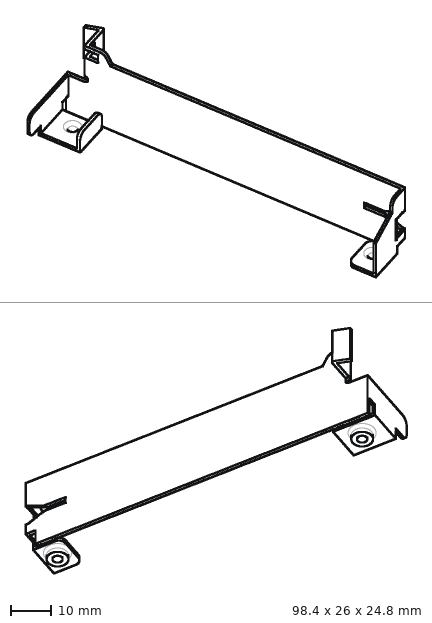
import cadquery as cq
import math

length = 98.4
sheet = 1.0
wall = 0.7
bulge = 0.2
right_face = length - bulge
right_inner = right_face - wall

web_top = 21.55
ear_top = 24.8
left_top = 12.6
ear_arc_start = 9.8
ear_radius = 2.2
ear_slope = math.radians(60)
relief_top = 14.6
relief_end = 6.4
slot_start = 86.8
slot_center = 10.7
slot_width = 1.8
flare_start = 92.8
flare_height = 6.1
opening_height = 6.5
opening_depth = 4.2
corner_start = 95.4
corner_top = 4.5

hook_x = 5.4
hook_back = 6.9
hook_tip_x = 1.8
hook_angle = math.radians(18)
hook_bend = 0.5
window_width = 3.9
window_depth = 2.4
window_bottom = 20.9
window_top = 23.6

floor_bottom = 2.1
floor_back = -3.6
floor_front = -13.8
left_floor_end = 12.1
right_floor_start = 90.0
upright_top = 8.2
corner_radius = 2.0
left_wall_front = -19.1
left_wall_bottom = 5.5
right_shoulder_y = -5.9
right_shoulder_z = 17.7
right_slope_end_z = 13.5
ridge_height = 6.9
ridge_width = 0.4

collar_y = -7.7
left_collar_x = 6.1
right_collar_x = 93.6
collar_diameter = 5.4
hole_diameter = 2.6
collar_flare = 0.8
hole_flare = 1.0


def box(x_range, y_range, z_range):
    """Axis-aligned block between the given limits."""
    (x0, x1), (y0, y1), (z0, z1) = x_range, y_range, z_range
    return cq.Workplane("XY").box(x1 - x0, y1 - y0, z1 - z0, centered=False).translate((x0, y0, z0))


def side_plate(points, x, thickness):
    """Flat plate normal to X from a (Y, Z) outline."""
    return cq.Workplane("YZ", origin=(x, 0, 0)).polyline(points).close().extrude(thickness)


def make_web():
    relief_radius = (relief_top - left_top) / 2
    arc_mid = ear_slope / 2
    arc_end_x = ear_arc_start + ear_radius * math.sin(ear_slope)
    arc_end_z = ear_top - ear_radius * (1 - math.cos(ear_slope))
    ear_end_x = arc_end_x + (arc_end_z - web_top) / math.tan(ear_slope)
    web = (
        cq.Workplane("XZ")
        .moveTo(0, 0)
        .lineTo(corner_start, 0)
        .lineTo(corner_start, corner_top)
        .lineTo(right_face, corner_top)
        .lineTo(right_face, web_top)
        .lineTo(ear_end_x, web_top)
        .lineTo(arc_end_x, arc_end_z)
        .threePointArc(
            (ear_arc_start + ear_radius * math.sin(arc_mid), ear_top - ear_radius * (1 - math.cos(arc_mid))),
            (ear_arc_start, ear_top),
        )
        .lineTo(hook_x, ear_top)
        .lineTo(hook_x, relief_top)
        .threePointArc((relief_end, left_top + relief_radius), (relief_end - relief_radius, left_top))
        .lineTo(0, left_top)
        .close()
        .extrude(sheet)
    )
    half_slot = slot_width / 2
    half_opening = flare_height / 2
    slot = (
        cq.Workplane("XZ")
        .polyline([
            (slot_start, slot_center - half_slot),
            (flare_start, slot_center - half_slot),
            (right_inner, slot_center - half_opening),
            (right_face, slot_center - half_opening),
            (right_face, slot_center + half_opening),
            (right_inner, slot_center + half_opening),
            (flare_start, slot_center + half_slot),
            (slot_start, slot_center + half_slot),
        ])
        .close()
        .extrude(sheet)
    )
    return web.cut(slot)


def make_hook():
    """Flange standing behind the web, with its lip folded toward the left end."""
    outer_x = hook_x + sheet
    slope = math.tan(hook_angle)
    lip_height = sheet / math.cos(hook_angle)
    corner_y = hook_back + hook_bend * (slope + 1 / math.cos(hook_angle) - 1)
    tip_y = corner_y - slope * (outer_x - hook_tip_x)
    inner_y = corner_y - slope * sheet - lip_height
    hook = (
        cq.Workplane("XY", origin=(0, 0, relief_top))
        .polyline([
            (hook_x, -sheet),
            (outer_x, -sheet),
            (outer_x, corner_y),
            (hook_tip_x, tip_y),
            (hook_tip_x, tip_y - lip_height),
            (hook_x, inner_y),
        ])
        .close()
        .extrude(ear_top - relief_top)
    )
    return hook.edges("|Z and >Y").fillet(hook_bend)


def make_window():
    """Opening through the web and flange across their shared bend."""
    return box((hook_x, hook_x + window_width), (-sheet, window_depth), (window_bottom, window_top))


def make_left_channel():
    """Left end wall, floor and upright, forming a channel open to the front."""
    end_wall = side_plate(
        [
            (0, left_wall_bottom),
            (floor_back, left_wall_bottom),
            (floor_back, floor_bottom),
            (floor_front, floor_bottom),
            (floor_front, left_wall_bottom),
            (left_wall_front, left_wall_bottom),
            (left_wall_front, left_top),
            (0, left_top),
        ],
        0,
        wall,
    ).edges("|X and <Y").fillet(corner_radius)
    floor = box((0, left_floor_end), (floor_front, floor_back), (floor_bottom, floor_bottom + sheet))
    upright = box(
        (left_floor_end - sheet, left_floor_end), (floor_front, floor_back), (floor_bottom, upright_top)
    ).edges("|X and >Z").fillet(corner_radius)
    return end_wall.union(floor).union(upright)


def make_right_bracket():
    """Right end wall with its opening and ridge, and the floor folded inward."""
    end_wall = side_plate(
        [
            (0, corner_top),
            (floor_back, corner_top),
            (floor_back, floor_bottom),
            (floor_front, floor_bottom),
            (floor_front, right_slope_end_z),
            (right_shoulder_y, right_shoulder_z),
            (right_shoulder_y, web_top),
            (0, web_top),
        ],
        right_inner,
        wall,
    )
    shoulder = cq.selectors.NearestToPointSelector((right_inner + wall / 2, right_shoulder_y, web_top))
    end_wall = end_wall.edges(shoulder).fillet(corner_radius)
    opening_bottom = slot_center - opening_height / 2
    opening = box(
        (right_inner, right_face),
        (-opening_depth, 0),
        (opening_bottom, opening_bottom + opening_height),
    )
    ridge = (
        cq.Workplane("XY", origin=(0, 0, slot_center - ridge_height / 2))
        .polyline([
            (right_inner, -opening_depth),
            (length, -opening_depth),
            (right_face, -opening_depth - ridge_width),
            (right_inner, -opening_depth - ridge_width),
        ])
        .close()
        .extrude(ridge_height)
    )
    floor = box(
        (right_floor_start, right_face), (floor_front, floor_back), (floor_bottom, floor_bottom + sheet)
    ).edges("|Z and <X").fillet(corner_radius)
    return end_wall.cut(opening).union(ridge).union(floor)


def flared_profile(radius, flare, start_z, end_z):
    """Solid of revolution whose wall flares out tangent to the plane at end_z."""
    diagonal = flare * (1 - math.sqrt(0.5))
    return (
        cq.Workplane("XZ")
        .moveTo(0, start_z)
        .lineTo(radius, start_z)
        .lineTo(radius, end_z - flare)
        .threePointArc((radius + diagonal, end_z - diagonal), (radius + flare, end_z))
        .lineTo(0, end_z)
        .close()
        .revolve(360, (0, 0, 0), (0, 1, 0))
    )


def add_collar(body, x):
    """Draw a collar down from the floor, with a rounded entry to its hole."""
    collar = flared_profile(collar_diameter / 2, collar_flare, 0, floor_bottom)
    hole = flared_profile(hole_diameter / 2, hole_flare, 0, floor_bottom + sheet)
    return body.union(collar.translate((x, collar_y, 0))).cut(hole.translate((x, collar_y, 0)))


result = make_web().union(make_hook()).cut(make_window())
result = result.union(make_left_channel()).union(make_right_bracket())
for collar_x in (left_collar_x, right_collar_x):
    result = add_collar(result, collar_x)